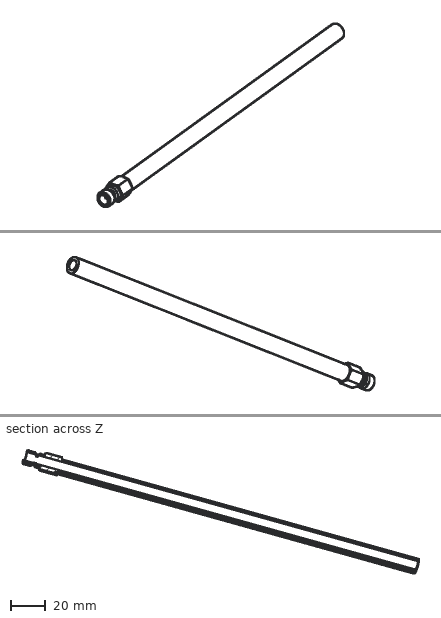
import cadquery as cq
import math

total_length = 240.0
tube_diameter = 10.0
bore_diameter = 6.0

hex_sides = 6
hex_across_flats = 11.0
hex_front_offset = 10.5
hex_length = 10.5
hex_chamfer_angle = 30.0
hex_chamfer_diameter = hex_across_flats

nipple_diameter = 9.4
head_length = 4.5
head_chamfer = 0.5
groove_width = 3.5
groove_floor_width = 1.0
groove_diameter = 7.4

tip_y = -total_length / 2
hex_front_y = tip_y + hex_front_offset
hex_rear_y = hex_front_y + hex_length
hex_across_corners = hex_across_flats / math.cos(math.pi / hex_sides)


def cylinder_along_y(diameter, start_y, length):
    """Solid cylinder on the Y axis, growing toward +Y."""
    return cq.Workplane("XZ", origin=(0, start_y, 0)).circle(diameter / 2).extrude(-length)


def hexagon():
    """Hexagon with corners on the X axis and the corners of both ends chamfered."""
    prism = (
        cq.Workplane("XZ", origin=(0, hex_front_y, 0))
        .polygon(hex_sides, hex_across_corners)
        .extrude(-hex_length)
    )
    face_radius = hex_chamfer_diameter / 2
    outer_radius = hex_across_corners
    slope_length = (outer_radius - face_radius) * math.tan(math.radians(hex_chamfer_angle))
    envelope = (
        cq.Workplane("XY")
        .moveTo(0, hex_front_y)
        .lineTo(face_radius, hex_front_y)
        .lineTo(outer_radius, hex_front_y + slope_length)
        .lineTo(outer_radius, hex_rear_y - slope_length)
        .lineTo(face_radius, hex_rear_y)
        .lineTo(0, hex_rear_y)
        .close()
        .revolve(360, (0, 0, 0), (0, 1, 0))
    )
    return prism.intersect(envelope)


def nipple():
    """Plug nipple with a chamfered head and a flared locking groove behind it."""
    radius = nipple_diameter / 2
    floor_radius = groove_diameter / 2
    flank_length = (groove_width - groove_floor_width) / 2
    groove_start_y = tip_y + head_length
    groove_end_y = groove_start_y + groove_width
    return (
        cq.Workplane("XY")
        .moveTo(0, tip_y)
        .lineTo(radius - head_chamfer, tip_y)
        .lineTo(radius, tip_y + head_chamfer)
        .lineTo(radius, groove_start_y)
        .lineTo(floor_radius, groove_start_y + flank_length)
        .lineTo(floor_radius, groove_end_y - flank_length)
        .lineTo(radius, groove_end_y)
        .lineTo(radius, hex_front_y)
        .lineTo(0, hex_front_y)
        .close()
        .revolve(360, (0, 0, 0), (0, 1, 0))
    )


tube_length = tip_y + total_length - hex_rear_y
tube = cylinder_along_y(tube_diameter, hex_rear_y, tube_length)
bore = cylinder_along_y(bore_diameter, tip_y, total_length)
result = nipple().union(hexagon()).union(tube).cut(bore)